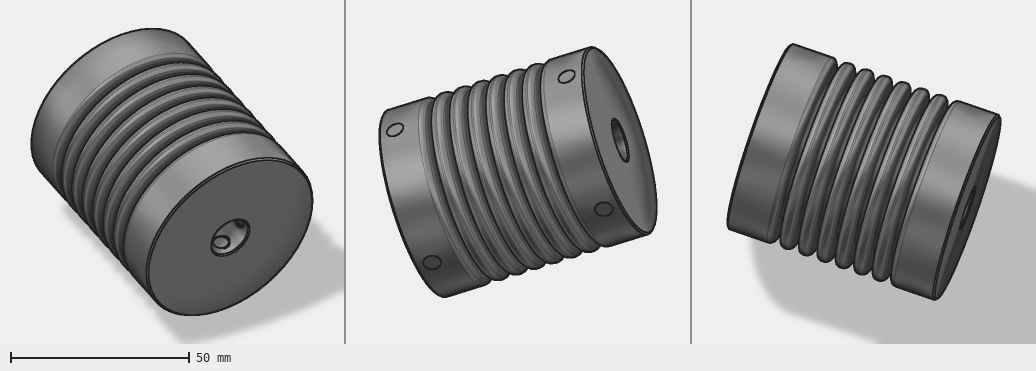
import cadquery as cq
import math

overall_length = 62.0
outer_diameter = 55.0
root_diameter = 40.0
bore_diameter = 12.0

ring_count = 6
ring_width = 3.5
groove_width = 2.0
rim_fillet = 1.5
root_fillet = 0.2

end_chamfer = 0.5
bore_chamfer = 0.4

screw_diameter = 5.0
screw_inset = 5.0
tip_chamfer = 0.3

outer_radius = outer_diameter / 2
root_radius = root_diameter / 2
bore_radius = bore_diameter / 2
screw_radius = screw_diameter / 2
half_length = overall_length / 2
groove_count = ring_count + 1
groove_pitch = ring_width + groove_width

bore_axis = cq.Workplane("YZ", origin=(-half_length, 0, 0))


def make_groove(center_x):
    """Ring-shaped cutter that rounds the root corners and the rims beside it."""
    half_width = groove_width / 2
    diagonal = math.sqrt(0.5)
    rim_start = outer_radius - rim_fillet
    rim_mid_x = half_width + rim_fillet * (1 - diagonal)
    rim_mid_r = rim_start + rim_fillet * diagonal
    rim_end_x = half_width + rim_fillet
    root_end = root_radius + root_fillet
    root_mid_x = half_width - root_fillet * (1 - diagonal)
    root_mid_r = root_radius + root_fillet * (1 - diagonal)
    floor_x = half_width - root_fillet
    return (
        cq.Workplane("XY", origin=(center_x, 0, 0))
        .moveTo(-floor_x, root_radius)
        .lineTo(floor_x, root_radius)
        .threePointArc((root_mid_x, root_mid_r), (half_width, root_end))
        .lineTo(half_width, rim_start)
        .threePointArc((rim_mid_x, rim_mid_r), (rim_end_x, outer_radius))
        .lineTo(-rim_end_x, outer_radius)
        .threePointArc((-rim_mid_x, rim_mid_r), (-half_width, rim_start))
        .lineTo(-half_width, root_end)
        .threePointArc((-root_mid_x, root_mid_r), (-floor_x, root_radius))
        .close()
        .revolve(360, (0, 0, 0), (1, 0, 0))
    )


def radial_cylinder(plane, direction, center_x, start_radius, end_radius):
    """Screw-sized cylinder pointing away from the bore axis."""
    return (
        cq.Workplane(plane, origin=(center_x, 0, 0))
        .workplane(offset=direction * start_radius)
        .circle(screw_radius)
        .extrude(direction * (end_radius - start_radius))
    )


screw_x = half_length - screw_inset
screw_seats = [
    (plane, -1, center_x)
    for center_x in (-screw_x, screw_x)
    for plane in ("XZ", "XY")
]


def make_coupling():
    """Two hubs joined by a grooved middle section, with a through bore."""
    body = bore_axis.circle(outer_radius).extrude(overall_length)
    body = body.faces("<X or >X").chamfer(end_chamfer)
    for index in range(groove_count):
        center_x = (index - (groove_count - 1) / 2) * groove_pitch
        body = body.cut(make_groove(center_x))
    body = body.cut(bore_axis.circle(bore_radius).extrude(overall_length))
    body = body.faces("<X or >X").edges(cq.selectors.RadiusNthSelector(0)).chamfer(bore_chamfer)
    for plane, direction, center_x in screw_seats:
        body = body.cut(radial_cylinder(plane, direction, center_x, 0, outer_radius))
    return body


def make_set_screw(plane, direction, center_x):
    """Plain screw with a chamfered flat tip at the bore and a flat head level with the hub's crown."""
    screw = radial_cylinder(plane, direction, center_x, bore_radius, outer_radius)
    return screw.faces(cq.selectors.NearestToPointSelector((center_x, 0, 0))).chamfer(tip_chamfer)


coupling = make_coupling()
set_screws = [make_set_screw(*seat) for seat in screw_seats]

result = cq.Compound.makeCompound([coupling.val(), *[screw.val() for screw in set_screws]])